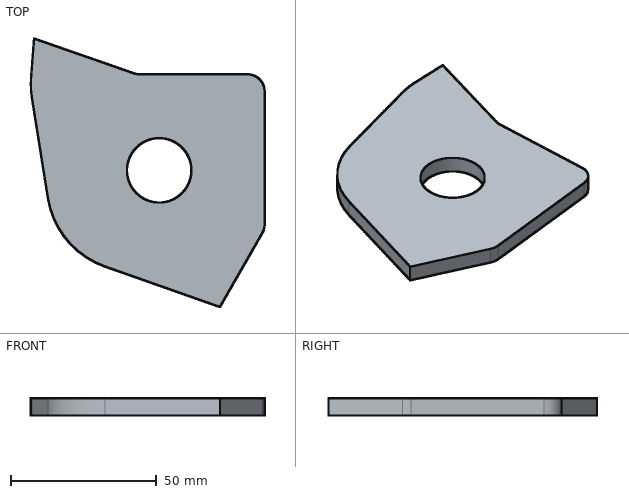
import cadquery as cq

thickness = 6.0
hole_diameter = 22.0
right_edge_x = 36.2
top_edge_y = 33.0
large_corner_radius = 30.0
small_corner_radius = 6.0

upper_tip = (-43.0, 45.3)
inner_corner = (-7.75, top_edge_y)
top_right_corner = (right_edge_x, top_edge_y)
lower_right_corner = (right_edge_x, -20.1)
lower_tip = (20.8, -46.9)
lower_left_corner = (-35.4, -27.1)
upper_left_corner = (-44.3, 28.3)

outline = [
    upper_tip,
    inner_corner,
    top_right_corner,
    lower_right_corner,
    lower_tip,
    lower_left_corner,
    upper_left_corner,
]
small_rounded_corners = [inner_corner, top_right_corner, lower_right_corner]
large_rounded_corners = [lower_left_corner, upper_left_corner]


def round_corners(plate, corners, radius):
    """Round the vertical edges of the plate standing at the given corners."""
    for x, y in corners:
        corner_edge = cq.selectors.NearestToPointSelector((x, y, thickness / 2))
        plate = plate.edges("|Z").edges(corner_edge).fillet(radius)
    return plate


plate = cq.Workplane("XY").polyline(outline).close().extrude(thickness)
plate = round_corners(plate, small_rounded_corners, small_corner_radius)
plate = round_corners(plate, large_rounded_corners, large_corner_radius)

hole = cq.Workplane("XY").circle(hole_diameter / 2).extrude(thickness)
result = plate.cut(hole)